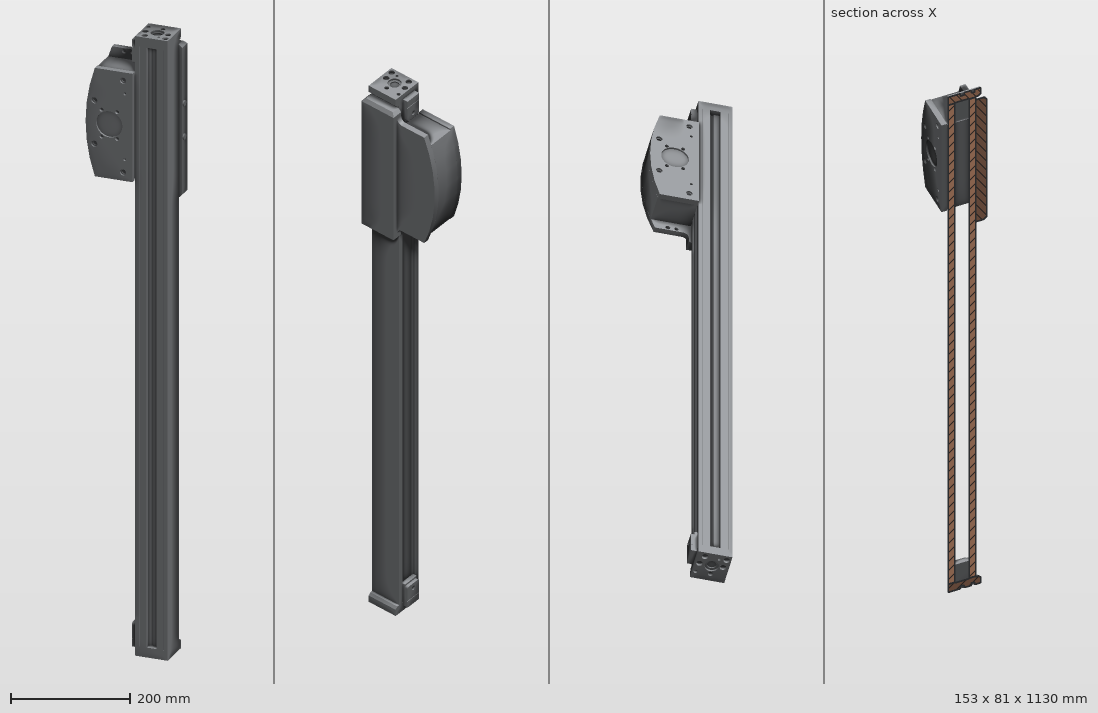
import cadquery as cq
import math

OVERLAP = 11.0

bore_depth = 3.0
hole_depth = 6.0

total_length = 1130.0
rail_width = 59.0
rail_depth = 51.0
cap_height = 18.0
cap_lip = 9.0
cap_lip_chamfer = 5.0
cap_bore_place = (0, 27.0)
cap_bore_diameters = (24.0, 16.0)
cap_holes = [
    (-21.0, 26.0, 11.0),
    (19.0, 26.0, 11.0),
    (-16.0, 9.0, 11.0),
    (21.0, 9.0, 11.0),
    (9.0, 10.0, 5.0),
    (-24.0, 45.0, 7.0),
    (2.0, 45.0, 8.5),
]

front_slot_width = 18.0
front_slot_depth = 9.0
floor_groove_offset = -3.0
floor_groove_width = 7.0
line_groove_spacing = 44.0
line_groove_width = 1.0
channel_width = 34.0
channel_depth = 3.0
channel_floor_width = 25.0
channel_floor_depth = 7.0

block_width = 30.0
block_height = 44.0
block_stand_off = 10.0
block_end_gap = 11.0
block_corner_radius = 5.0
block_foot_length = 3.0
block_foot_height = 5.0
block_hole_diameters = (8.5, 5.0)
block_hole_offset = 34.0
kerf_offset = 14.0
kerf_width = 1.0
kerf_depth = 2.0

carriage_z = 966.0
carriage_left = -34.0
carriage_right = 36.0
carriage_length = 279.0
carriage_thickness = 20.0
carriage_end_chamfer = 6.0
skirt_drop = 3.0
plate_thickness = 10.0
plate_length = 230.0
plate_fillet = 10.0
drive_reach = -115.0
drive_radius = 301.0
plate_hole_z = 110.0
plate_holes = [(-70.0, 8.5), (-55.0, 7.0)]

nipple_diameter = 11.0
nipple_stand_off = 2.0
nipple_depth = 5.0
nipple_y = 55.0
nipple_spacing = 61.0

drive_inner_x = -30.0
housing_length = 192.0
cover_length = 198.0
cover_thickness = 10.0
recess_x = -72.0
recess_diameter = 47.0
recess_depth = 3.0
recess_bolt_circle = 56.0
recess_bolt_angle = 60.0
recess_bolt_diameter = 7.0
dowel_hole_diameter = 5.0
dowel_hole = (-44.0, 60.0)
screw_holes = [(-47.0, 84.0), (-100.0, 40.0)]
screw_hole_diameters = (11.0, 7.0)

half_rail = rail_width / 2
channel_y = rail_depth / 2
carriage_back = rail_depth + carriage_thickness


def box(x_range, y_range, z_range):
    """Box between two limits along each axis."""
    sizes = [high - low for low, high in (x_range, y_range, z_range)]
    return cq.Workplane("XY").box(*sizes, centered=False).translate(
        (x_range[0], y_range[0], z_range[0])
    )


def rod(start, direction, diameter, length):
    """Round bar from a start point along a direction."""
    return cq.Workplane(
        cq.Solid.makeCylinder(diameter / 2, length, cq.Vector(*start), cq.Vector(*direction))
    )


def counterbored_hole(start, direction, bore_diameter, hole_diameter):
    """Cutting tool for a blind hole that is wider at its mouth."""
    bore = rod(start, direction, bore_diameter, bore_depth)
    return bore.union(rod(start, direction, hole_diameter, hole_depth))


def mirrored_to_other_end(body):
    """The same body at the opposite end of the unit."""
    return body.mirror("XY").translate((0, 0, total_length))


def drive_arc_x(z_offset):
    """X of the curved drive side at a height above or below the carriage middle."""
    return drive_reach + drive_radius - math.sqrt(drive_radius**2 - z_offset**2)


def drive_slab(length, front_y, thickness):
    """Slab with a curved left side, standing on the drive's middle height."""
    half = length / 2
    corner_x = drive_arc_x(half)
    return (
        cq.Workplane("XZ", origin=(0, front_y + thickness, carriage_z))
        .moveTo(drive_inner_x, -half)
        .lineTo(corner_x, -half)
        .threePointArc((drive_reach, 0), (corner_x, half))
        .lineTo(drive_inner_x, half)
        .close()
        .extrude(thickness)
    )


def front_v_groove(x, y, width):
    """V-shaped groove along the rail, opening toward the front at depth y."""
    half = width / 2
    return (
        cq.Workplane("XY")
        .polyline([(x - half, y), (x + half, y), (x, y + half)])
        .close()
        .extrude(total_length)
    )


def side_channel(width, depth):
    """Channel along the rail's left side."""
    return box(
        (-half_rail - OVERLAP, -half_rail + depth),
        (channel_y - width / 2, channel_y + width / 2),
        (0, total_length),
    )


def make_rail():
    rail = box((-half_rail, half_rail), (0, rail_depth), (cap_height, total_length - cap_height))
    half_slot = front_slot_width / 2
    rail = rail.cut(box((-half_slot, half_slot), (-OVERLAP, front_slot_depth), (0, total_length)))
    rail = rail.cut(front_v_groove(floor_groove_offset, front_slot_depth, floor_groove_width))
    for side in (-1, 1):
        rail = rail.cut(front_v_groove(side * line_groove_spacing / 2, 0, line_groove_width))
    rail = rail.cut(side_channel(channel_width, channel_depth))
    return rail.cut(side_channel(channel_floor_width, channel_floor_depth))


def make_upper_cap():
    bottom = total_length - cap_height
    cap = box((-half_rail, half_rail), (0, rail_depth + cap_lip), (bottom, total_length))
    cap = cap.faces(">Y").edges("<Z").chamfer(cap_lip_chamfer)
    down = (0, 0, -1)
    bore_start = (*cap_bore_place, total_length)
    cap = cap.cut(counterbored_hole(bore_start, down, *cap_bore_diameters))
    for x, y, diameter in cap_holes:
        cap = cap.cut(rod((x, y, total_length), down, diameter, hole_depth))
    return cap


def make_lower_block():
    """Block against the rail's side, with a foot seated in the side channel between the caps."""
    left = -half_rail - block_stand_off
    y_range = (channel_y - block_width / 2, channel_y + block_width / 2)
    top = block_end_gap + block_height
    block = box((left, -half_rail), y_range, (block_end_gap, top))
    block = block.faces(">Z").edges("|X").fillet(block_corner_radius)
    foot_z = (cap_height, top + block_foot_length)
    foot = box((-half_rail - block_foot_height, -half_rail + channel_depth), y_range, foot_z)
    block = block.union(foot)
    hole_start = (left, channel_y, block_end_gap + block_hole_offset)
    block = block.cut(counterbored_hole(hole_start, (1, 0, 0), *block_hole_diameters))
    kerf_z = block_end_gap + kerf_offset
    kerf = box((left, left + kerf_depth), y_range, (kerf_z, kerf_z + kerf_width))
    return block.cut(kerf)


def nipple_heights():
    return [carriage_z + side * nipple_spacing / 2 for side in (-1, 1)]


def make_nipple(z):
    start = (carriage_right - nipple_depth, nipple_y, z)
    return rod(start, (1, 0, 0), nipple_diameter, nipple_depth + nipple_stand_off)


def make_drive_plate():
    """Curved plate beside the carriage, flaring into its side with two concave fillets."""
    half = plate_length / 2
    corner_x = drive_arc_x(half)
    flare_x = carriage_left - plate_fillet
    flare_z = half + plate_fillet
    mid = plate_fillet * math.sqrt(0.5)
    plate = (
        cq.Workplane("XZ", origin=(0, rail_depth + plate_thickness, carriage_z))
        .moveTo(corner_x, -half)
        .threePointArc((drive_reach, 0), (corner_x, half))
        .lineTo(flare_x, half)
        .threePointArc((flare_x + mid, flare_z - mid), (carriage_left, flare_z))
        .lineTo(carriage_left, -flare_z)
        .threePointArc((flare_x + mid, mid - flare_z), (flare_x, -half))
        .close()
        .extrude(plate_thickness)
    )
    for x, diameter in plate_holes:
        for side in (-1, 1):
            start = (x, rail_depth, carriage_z + side * plate_hole_z)
            plate = plate.cut(rod(start, (0, 1, 0), diameter, hole_depth))
    return plate


def make_carriage():
    """Table with chamfered ends, built as an upper half and its mirror image, plus the drive plate."""
    z_range = (carriage_z, carriage_z + carriage_length / 2)
    half = box((carriage_left, carriage_right), (rail_depth, carriage_back), z_range)
    skirt = box((half_rail, carriage_right), (rail_depth - skirt_drop, rail_depth), z_range)
    half = half.union(skirt)
    rim = half.faces(">Z").edges("<X or >X or >Y")
    half = rim.chamfer(carriage_end_chamfer)
    carriage = half.union(half.mirror("XY", (0, 0, carriage_z)))
    carriage = carriage.union(make_drive_plate())
    for z in nipple_heights():
        carriage = carriage.cut(make_nipple(z))
    return carriage


def make_cover():
    cover = drive_slab(cover_length, -cover_thickness, cover_thickness)
    front = -cover_thickness
    recess = rod((recess_x, front, carriage_z), (0, 1, 0), recess_diameter, recess_depth)
    cover = cover.cut(recess)
    bolt_x = recess_bolt_circle / 2 * math.cos(math.radians(recess_bolt_angle))
    bolt_z = recess_bolt_circle / 2 * math.sin(math.radians(recess_bolt_angle))
    plain_holes = [(*dowel_hole, dowel_hole_diameter)]
    for side in (-1, 1):
        plain_holes.append((recess_x + side * bolt_x, bolt_z, recess_bolt_diameter))
    for side in (-1, 1):
        for x, z_offset, diameter in plain_holes:
            start = (x, front, carriage_z + side * z_offset)
            cover = cover.cut(rod(start, (0, 1, 0), diameter, hole_depth))
        for x, z_offset in screw_holes:
            start = (x, front, carriage_z + side * z_offset)
            cover = cover.cut(counterbored_hole(start, (0, 1, 0), *screw_hole_diameters))
    return cover


rail = make_rail()
upper_cap = make_upper_cap()
lower_cap = mirrored_to_other_end(upper_cap)
lower_block = make_lower_block()
upper_block = mirrored_to_other_end(lower_block)
carriage = make_carriage()
nipples = [make_nipple(z) for z in nipple_heights()]
housing = drive_slab(housing_length, 0, rail_depth)
cover = make_cover()

result = cq.Compound.makeCompound(
    [
        rail.val(),
        upper_cap.val(),
        lower_cap.val(),
        upper_block.val(),
        lower_block.val(),
        carriage.val(),
        *[nipple.val() for nipple in nipples],
        housing.val(),
        cover.val(),
    ]
)